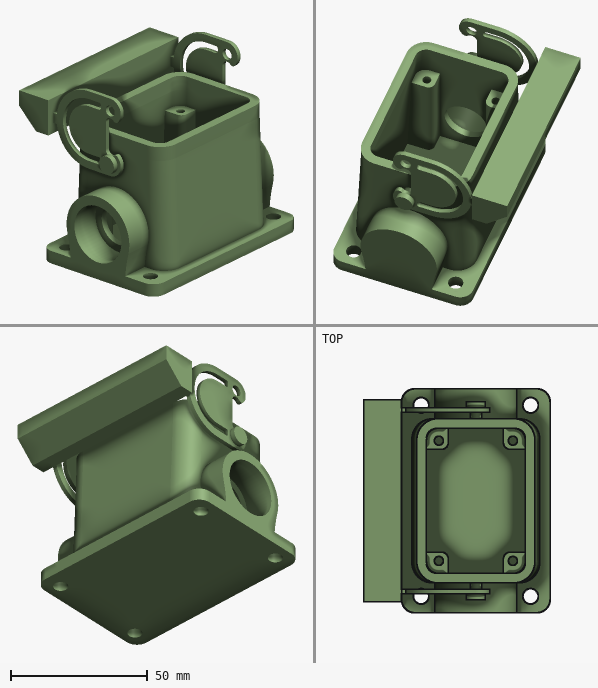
import cadquery as cq
import math

base_width_x = 54.45
base_length_y = 82.0
base_thickness = 5.0
base_corner_radius = 5.0
base_hole_radius = 2.8
base_hole_x = 20.0
base_hole_y = 34.9

hood_length_y = 60.0
hood_foot_width_x = 46.8
collar_width_x = 43.1
hood_corner_radius = 7.6
collar_bottom_z = 48.5
collar_top_z = 54.0
wall_thickness = 3.5

post_top_z = 42.0
post_inner_x = 10.1
post_inner_y = 18.8
post_corner_radius = 2.5
post_hole_radius = 1.6
post_hole_x = 13.5
post_hole_y = 22.0

entry_z = 18.0
entry_radius = 15.0
entry_foot_half_width = 13.0
entry_flare_drop = 3.6
entry_bore_radius = 11.2
entry_bore_depth = 12.0
entry_inner_hole_radius = 8.3

pivot_z = 44.0
pin_shaft_radius = 2.1
pin_head_radius = 3.5
pin_end_y = 36.2

latch_top_z = 70.0
plate_end_radius = 5.0
plate_outer_y = 34.0
plate_thickness = 1.7
plate_inner_y = plate_outer_y - plate_thickness
plate_arc_x = -10.2
plate_mouth_x = -pin_shaft_radius
hook_tip_radius = 1.4
latch_mid_z = (latch_top_z - plate_end_radius + pivot_z) / 2
plate_half_height = latch_top_z - latch_mid_z
hook_z = latch_top_z - plate_end_radius
notch_radius = pin_shaft_radius
notch_z = hook_z - plate_end_radius

slot_outer_radius = 12.4
slot_inner_radius = 9.5
slot_end_x = -4.4
slot_corner_radius = 1.0

handle_left_x = -41.0
handle_right_x = -27.15
handle_half_length_y = 37.0
handle_top_z = 62.6
handle_bottom_z = 48.5
handle_bevel_x = -33.0
handle_bevel_z = 56.3
tab_height = 4.0
tab_end_x = plate_arc_x - (slot_outer_radius + plate_half_height) / 2


def rounded_block(width_x, length_y, radius, bottom_z, top_z):
    block = cq.Workplane("XY").box(width_x, length_y, top_z - bottom_z, centered=(True, True, False))
    return block.edges("|Z").fillet(radius).translate((0, 0, bottom_z))


def hood_block(inset):
    """Tapered block with a straight collar, pulled in by inset from the outer faces."""
    length_y = hood_length_y - 2 * inset
    collar_x = collar_width_x - 2 * inset
    foot_x = hood_foot_width_x - 2 * inset
    radius = hood_corner_radius - inset
    foot = cq.Sketch().rect(foot_x, length_y).vertices().fillet(radius)
    rim = cq.Sketch().rect(collar_x, length_y).vertices().fillet(radius)
    taper_height = collar_bottom_z - base_thickness
    taper = (
        cq.Workplane("XY", origin=(0, 0, base_thickness))
        .placeSketch(foot, rim.moved(cq.Location(cq.Vector(0, 0, taper_height))))
        .loft(ruled=True)
    )
    return taper.union(rounded_block(collar_x, length_y, radius, collar_bottom_z, collar_top_z))


def cylinder_y(radius, x, z, start_y, end_y):
    return cq.Workplane("XZ", origin=(0, start_y, 0)).center(x, z).circle(radius).extrude(start_y - end_y)


def both_ends(shape):
    """The shape on the -Y end together with its mirror image on the +Y end."""
    return shape.union(shape.mirror("XZ"))


def entry_boss():
    """Round boss on the -Y end, narrowing in a hollow curve to a foot on the base."""
    tangent_x = math.sqrt(entry_radius**2 - entry_flare_drop**2)
    root_depth = (base_length_y - hood_length_y + wall_thickness) / 2
    diagonal = entry_radius * math.sqrt(0.5)
    half = (
        cq.Workplane("XZ", origin=(0, -base_length_y / 2, 0))
        .moveTo(0, entry_z + entry_radius)
        .threePointArc((diagonal, entry_z + diagonal), (tangent_x, entry_z - entry_flare_drop))
        .tangentArcPoint((entry_foot_half_width, base_thickness), relative=False)
        .lineTo(entry_foot_half_width, 0)
        .lineTo(0, 0)
        .close()
        .extrude(-root_depth)
    )
    return half.union(half.mirror("YZ"))


def pivot_pin():
    """Headed pin on the -Y end; the shaft is rooted in the hood wall."""
    root_y = -(hood_length_y - wall_thickness) / 2
    shaft = cylinder_y(pin_shaft_radius, 0, pivot_z, root_y, -pin_end_y)
    head = cylinder_y(pin_head_radius, 0, pivot_z, -plate_outer_y, -pin_end_y)
    return shaft.union(head)


def screw_posts(cavity):
    """Four drilled corner posts, bounded by the cavity walls."""
    outer_x = hood_foot_width_x / 2
    outer_y = hood_length_y / 2
    height = post_top_z - base_thickness
    posts = (
        cq.Workplane("XY", origin=(0, 0, base_thickness))
        .rect(post_inner_x + outer_x, post_inner_y + outer_y, forConstruction=True)
        .vertices()
        .rect(outer_x - post_inner_x, outer_y - post_inner_y)
        .extrude(height)
        .edges("|Z")
        .fillet(post_corner_radius)
    )
    holes = (
        cq.Workplane("XY", origin=(0, 0, base_thickness))
        .rect(2 * post_hole_x, 2 * post_hole_y, forConstruction=True)
        .vertices()
        .circle(post_hole_radius)
        .extrude(height)
    )
    return posts.intersect(cavity).cut(holes)


def make_housing():
    base = rounded_block(base_width_x, base_length_y, base_corner_radius, 0, base_thickness)
    base_holes = (
        cq.Workplane("XY")
        .rect(2 * base_hole_x, 2 * base_hole_y, forConstruction=True)
        .vertices()
        .circle(base_hole_radius)
        .extrude(base_thickness)
    )
    cavity = hood_block(wall_thickness)
    entry_face_y = -base_length_y / 2
    bore = cylinder_y(entry_bore_radius, 0, entry_z, entry_face_y, entry_face_y + entry_bore_depth)
    inner_hole = cylinder_y(entry_inner_hole_radius, 0, entry_z, entry_face_y, -post_inner_y)
    return (
        base.cut(base_holes)
        .union(hood_block(0))
        .union(both_ends(entry_boss()))
        .cut(cavity)
        .cut(bore)
        .cut(inner_hole)
        .union(both_ends(pivot_pin()))
        .union(screw_posts(cavity))
    )


def plate_upper_half():
    """Upper half of the -Y side plate: large round end on the left, hook around the pin hole on the right."""
    tip_reach = plate_end_radius - hook_tip_radius
    tip_gap = notch_radius + hook_tip_radius
    tip_drop = (tip_reach**2 - tip_gap**2 + plate_end_radius**2) / (2 * plate_end_radius)
    tip_x = math.sqrt(tip_reach**2 - tip_drop**2)
    tip_z = hook_z - tip_drop
    tip_start = (tip_x * plate_end_radius / tip_reach, hook_z - tip_drop * plate_end_radius / tip_reach)
    tip_end = (tip_x * notch_radius / tip_gap, notch_z + (tip_z - notch_z) * notch_radius / tip_gap)
    diagonal = math.sqrt(0.5)
    return (
        cq.Workplane("XZ", origin=(0, -plate_inner_y, 0))
        .moveTo(plate_arc_x - plate_half_height, latch_mid_z)
        .threePointArc(
            (plate_arc_x - plate_half_height * diagonal, latch_mid_z + plate_half_height * diagonal),
            (plate_arc_x, latch_top_z),
        )
        .lineTo(0, latch_top_z)
        .threePointArc((plate_end_radius, hook_z), tip_start)
        .threePointArc((tip_x, tip_z - hook_tip_radius), tip_end)
        .threePointArc(
            (-notch_radius * diagonal, notch_z + notch_radius * diagonal),
            (plate_mouth_x, notch_z),
        )
        .lineTo(plate_mouth_x, latch_mid_z)
        .close()
        .extrude(plate_thickness)
    )


def spring_slot():
    """C-shaped slot that follows the large round end of the side plate."""
    return (
        cq.Workplane("XZ", origin=(0, -plate_inner_y, 0))
        .moveTo(slot_end_x, latch_mid_z + slot_outer_radius)
        .lineTo(plate_arc_x, latch_mid_z + slot_outer_radius)
        .threePointArc(
            (plate_arc_x - slot_outer_radius, latch_mid_z),
            (plate_arc_x, latch_mid_z - slot_outer_radius),
        )
        .lineTo(slot_end_x, latch_mid_z - slot_outer_radius)
        .lineTo(slot_end_x, latch_mid_z - slot_inner_radius)
        .lineTo(plate_arc_x, latch_mid_z - slot_inner_radius)
        .threePointArc(
            (plate_arc_x - slot_inner_radius, latch_mid_z),
            (plate_arc_x, latch_mid_z + slot_inner_radius),
        )
        .lineTo(slot_end_x, latch_mid_z + slot_inner_radius)
        .close()
        .extrude(plate_thickness)
        .edges("|Y and >X")
        .fillet(slot_corner_radius)
    )


def side_plate():
    """Side plate on the -Y end with its slot, two pin holes and the tab that joins the handle."""
    upper = plate_upper_half()
    lower = upper.mirror("XY", (0, 0, latch_mid_z))
    tab = (
        cq.Workplane("XZ", origin=(0, -plate_inner_y, 0))
        .center((handle_right_x + tab_end_x) / 2, latch_mid_z)
        .rect(tab_end_x - handle_right_x, tab_height)
        .extrude(plate_thickness)
    )
    plate = upper.union(lower).union(tab).cut(spring_slot())
    for hole_z in (pivot_z, hook_z):
        plate = plate.cut(cylinder_y(pin_shaft_radius, 0, hole_z, -plate_outer_y, -plate_inner_y))
    return plate


def handle_bar():
    return (
        cq.Workplane("XZ", origin=(0, handle_half_length_y, 0))
        .moveTo(handle_right_x, handle_top_z)
        .lineTo(handle_left_x, handle_top_z)
        .lineTo(handle_left_x, handle_bevel_z)
        .lineTo(handle_bevel_x, handle_bottom_z)
        .lineTo(handle_right_x, handle_bottom_z)
        .close()
        .extrude(2 * handle_half_length_y)
    )


def make_latch():
    return handle_bar().union(both_ends(side_plate()))


housing = make_housing()
latch = make_latch()
result = cq.Compound.makeCompound([housing.solids().val(), latch.solids().val()])